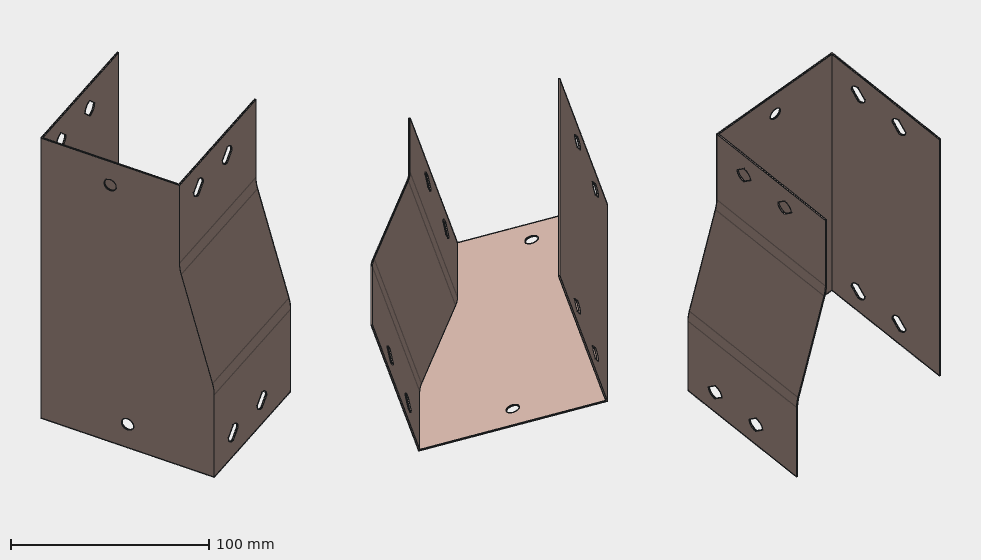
import cadquery as cq
base_width = 100.0
top_width = 80.0
depth = 80.0
height = 180.0
sheet = 0.8

slope_bottom = 56.5
slope_rise = 70.0
slope_top = slope_bottom + slope_rise
bend_radius = 25.0

end_margin = 15.0
hole_diameter = 7.0
slot_width = 7.0
slot_length = 10.0
slot_angle = 45.0
slot_distances = (20.0, 50.0)

cutter_reach = 2 * sheet

left_x = -base_width / 2
base_right_x = base_width / 2
top_right_x = left_x + top_width
front_y = -depth / 2


def stepped_prism():
    """Solid block with the stepped side outline and rounded bends, from front to back."""
    outline = [
        (left_x, 0),
        (base_right_x, 0),
        (base_right_x, slope_bottom),
        (top_right_x, slope_top),
        (top_right_x, height),
        (left_x, height),
    ]
    prism = cq.Workplane("XZ", origin=(0, front_y, 0)).polyline(outline).close().extrude(-depth)
    bend_zone = cq.selectors.BoxSelector(
        (top_right_x - sheet, front_y - sheet, slope_bottom - sheet),
        (base_right_x + sheet, front_y + depth + sheet, slope_top + sheet),
    )
    return prism.edges("|Y").edges(bend_zone).fillet(bend_radius)


def folded_sheet():
    """Front, left and right walls of even thickness, open at the back, top and bottom."""
    return stepped_prism().faces(">Y or >Z or <Z").shell(-sheet)


def side_slot(wall_x, y, z, angle):
    """Cutter for one tilted slot with flat sides and rounded ends through a side wall.

    The slot is the overlap of a disc, which rounds its ends, and a narrower strip.
    """
    plane = cq.Workplane("YZ", origin=(wall_x, y, z)).transformed(rotate=(0, 0, angle))
    disc = plane.circle(slot_length / 2).extrude(cutter_reach, both=True)
    strip = plane.rect(slot_length, slot_width).extrude(cutter_reach, both=True)
    return disc.intersect(strip)


def front_hole(x, z):
    """Cutter for one round hole through the front wall."""
    return (
        cq.Workplane("XZ", origin=(x, front_y, z))
        .circle(hole_diameter / 2)
        .extrude(cutter_reach, both=True)
    )


result = folded_sheet()

for row_height, right_x in ((end_margin, base_right_x), (height - end_margin, top_right_x)):
    result = result.cut(front_hole((left_x + right_x) / 2, row_height))
    for distance in slot_distances:
        slot_y = front_y + distance
        result = result.cut(side_slot(left_x, slot_y, row_height, -slot_angle))
        result = result.cut(side_slot(right_x, slot_y, row_height, slot_angle))